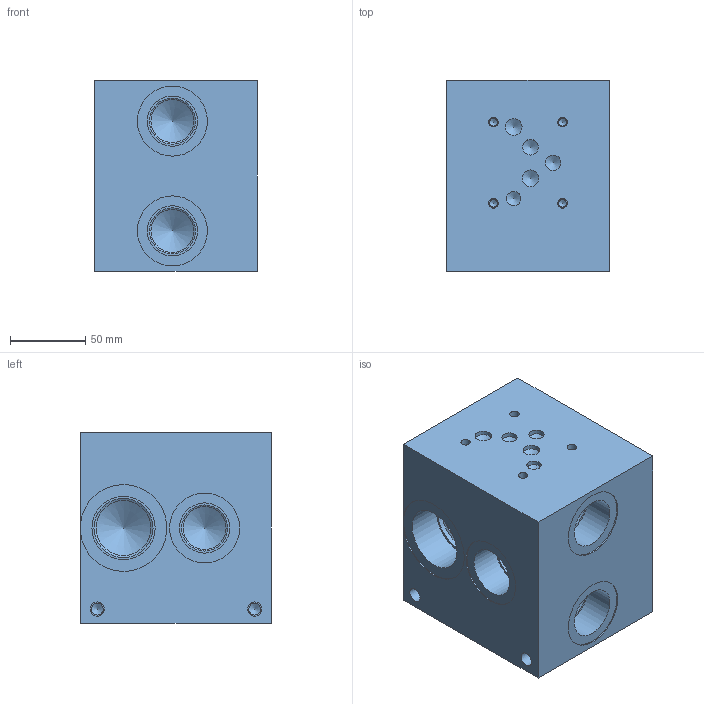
import cadquery as cq
import math

LENGTH_X = 107.95
LENGTH_Y = 127.0
LENGTH_Z = 127.0

DRILL_POINT_ANGLE = 118.0

SPOTFACE_DEPTH = 0.79
SMALL_PORT = {"spotface": 46.56, "thread": 33.4, "tap": 30.63, "pilot": 28.57,
              "thread_depth": 21.5, "tap_depth": 25.0, "pilot_depth": 29.0}
LARGE_PORT = {"spotface": 57.66, "thread": 42.06, "tap": 39.29, "pilot": 36.52,
              "thread_depth": 23.75, "tap_depth": 27.1, "pilot_depth": 31.0}

FRONT_PORT_X = 51.58
FRONT_PORT_INSET_Z = 26.99
SIDE_PORT_Z = LENGTH_Z / 2
SIDE_SMALL_PORT_Y = 44.45
SIDE_LARGE_PORT_Y = LENGTH_Y - 28.575

PAD_CENTRE_X = LENGTH_X / 2
PAD_CENTRE_Y = 72.2
PAD_BOLT_SPACING_X = 46.0
PAD_BOLT_SPACING_Y = 54.0
PAD_TAP = {"thread": 6.35, "drill": 5.11, "thread_depth": 16.0, "drill_depth": 20.0}
PASSAGE_DEPTH = 3.0
PASSAGES = [
    (6.3, 0.0, 10.31),
    (21.4, 10.3, 10.31),
    (21.4, -10.3, 11.12),
    (32.5, 23.8, 11.12),
    (32.5, -23.8, 9.53),
]

MOUNT_INSET_Y = 11.11
MOUNT_Z = 9.53
MOUNT_TAP = {"thread": 9.53, "drill": 7.92, "thread_depth": 19.0, "drill_depth": 24.0}


def point_length(diameter):
    """Length of the conical drill point at the bottom of a blind hole."""
    return diameter / 2 / math.tan(math.radians(DRILL_POINT_ANGLE / 2))


def drilled_cutter(profile):
    """Turn a stepped (diameter, depth) profile with a drill point about Z, pointing down from Z = 0."""
    last_diameter, last_depth = profile[-1]
    outline = [(0, 0)]
    outline += [(diameter / 2, -depth) for diameter, depth in profile]
    outline.append((0, -last_depth - point_length(last_diameter)))
    return cq.Workplane("XZ").polyline(outline).close().revolve(360, (0, 0, 0), (0, 1, 0))


def port_cutter(port):
    """Stepped port bore: flat steps at the spotface and thread, a drill-angle shoulder above the pilot."""
    shoulder_length = point_length(port["tap"]) - point_length(port["pilot"])
    return drilled_cutter([
        (port["spotface"], 0),
        (port["spotface"], SPOTFACE_DEPTH),
        (port["thread"], SPOTFACE_DEPTH),
        (port["thread"], port["thread_depth"]),
        (port["tap"], port["thread_depth"]),
        (port["tap"], port["tap_depth"]),
        (port["pilot"], port["tap_depth"] + shoulder_length),
        (port["pilot"], port["pilot_depth"]),
    ])


def tapped_cutter(hole):
    """Thread-size bore over a narrower tap drill hole."""
    return drilled_cutter([
        (hole["thread"], 0),
        (hole["thread"], hole["thread_depth"]),
        (hole["drill"], hole["thread_depth"]),
        (hole["drill"], hole["drill_depth"]),
    ])


def cut_top(body, cutter, x, y):
    """Drill into the top face."""
    return body.cut(cutter.translate((x, y, LENGTH_Z)))


def cut_front(body, cutter, x, z):
    """Drill into the -Y face."""
    return body.cut(cutter.rotate((0, 0, 0), (1, 0, 0), 90).translate((x, 0, z)))


def cut_side(body, cutter, y, z):
    """Drill into the -X face."""
    return body.cut(cutter.rotate((0, 0, 0), (0, 1, 0), -90).translate((0, y, z)))


def cut_valve_pad(body):
    tap = tapped_cutter(PAD_TAP)
    for side_x in (-1, 1):
        for side_y in (-1, 1):
            x = PAD_CENTRE_X + side_x * PAD_BOLT_SPACING_X / 2
            y = PAD_CENTRE_Y + side_y * PAD_BOLT_SPACING_Y / 2
            body = cut_top(body, tap, x, y)
    bolt_row_x = PAD_CENTRE_X + PAD_BOLT_SPACING_X / 2
    for inset_x, offset_y, diameter in PASSAGES:
        passage = drilled_cutter([(diameter, 0), (diameter, PASSAGE_DEPTH)])
        body = cut_top(body, passage, bolt_row_x - inset_x, PAD_CENTRE_Y + offset_y)
    return body


def cut_front_ports(body):
    port = port_cutter(SMALL_PORT)
    for z in (FRONT_PORT_INSET_Z, LENGTH_Z - FRONT_PORT_INSET_Z):
        body = cut_front(body, port, FRONT_PORT_X, z)
    return body


def cut_side_ports(body):
    body = cut_side(body, port_cutter(LARGE_PORT), SIDE_LARGE_PORT_Y, SIDE_PORT_Z)
    return cut_side(body, port_cutter(SMALL_PORT), SIDE_SMALL_PORT_Y, SIDE_PORT_Z)


def cut_mounting_holes(body):
    tap = tapped_cutter(MOUNT_TAP)
    for y in (MOUNT_INSET_Y, LENGTH_Y - MOUNT_INSET_Y):
        body = cut_side(body, tap, y, MOUNT_Z)
    return body


block = cq.Workplane("XY").box(LENGTH_X, LENGTH_Y, LENGTH_Z, centered=False)
block = cut_valve_pad(block)
block = cut_front_ports(block)
block = cut_side_ports(block)
result = cut_mounting_holes(block)